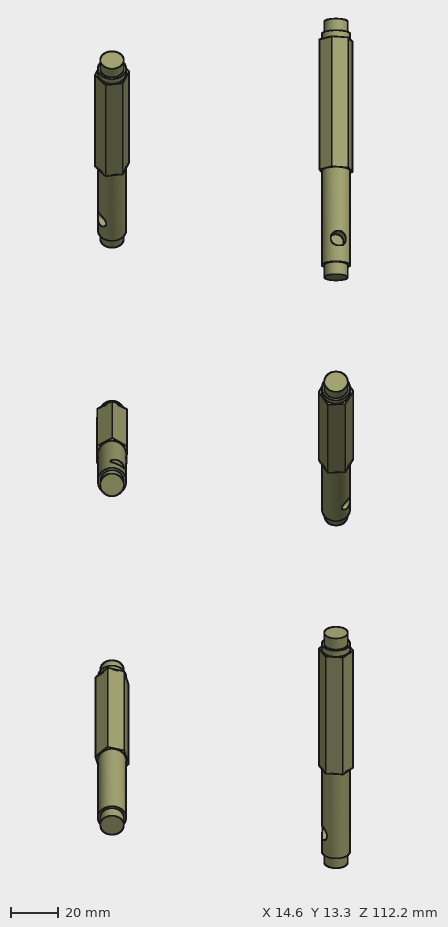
import cadquery as cq
import math

length = 112.2
tip_length = 5.4
collar_length = 2.9
hex_length = 57.1
collar_top = length - tip_length
hex_top = collar_top - collar_length
hex_bottom = hex_top - hex_length

tip_diameter = 10.0
shank_diameter = 12.0
hex_across_flats = 12.7
hex_across_corners = hex_across_flats / math.cos(math.pi / 6)
hex_turn = 4.7

hole_diameter = 6.5
hole_height = 15.6
hole_depth = 6.1


def cylinder(diameter, bottom, top):
    """Round section on the Z axis between two heights."""
    return cq.Workplane("XY", origin=(0, 0, bottom)).circle(diameter / 2).extrude(top - bottom)


def hexagon_grip():
    """Slightly turned hexagonal section."""
    return (
        cq.Workplane("XY", origin=(0, 0, hex_bottom))
        .polygon(6, hex_across_corners)
        .extrude(hex_length)
        .rotate((0, 0, 0), (0, 0, 1), hex_turn)
    )


def cross_hole():
    """Flat-bottomed hole running along +Y from the front of the shank."""
    floor_y = hole_depth - shank_diameter / 2
    return (
        cq.Workplane("XZ", origin=(0, floor_y, hole_height))
        .circle(hole_diameter / 2)
        .extrude(hole_depth)
    )


core = cylinder(tip_diameter, 0, length)
shank = cylinder(shank_diameter, tip_length, collar_top)
result = core.union(shank).union(hexagon_grip()).cut(cross_hole())